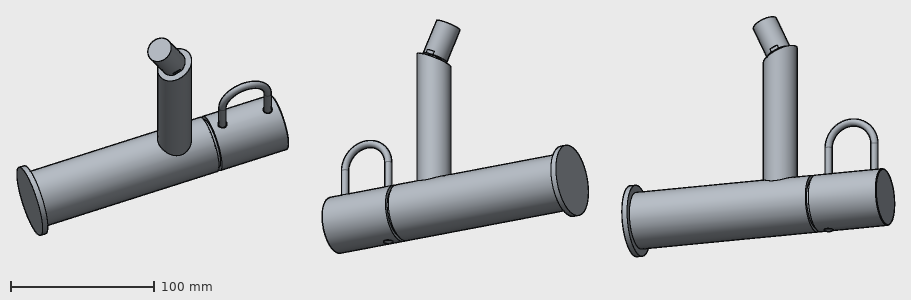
import cadquery as cq
import math

total_length = 186.8
flange_radius = 25.0
flange_thickness = 4.0
body_radius = 20.0
groove_start = 134.3
groove_width = 2.2
groove_radius = 17.4
end_chamfer = 0.5

spout_y = 108.7
spout_radius = 12.0
spout_middle_height = 110.2
tilt = 25

nozzle_y = 107.8
nozzle_height = 112.1
nozzle_radius = 9.0
nozzle_length = 24.7
neck_radius = 4.9
neck_length = 5.6
flat_width = 6.0
flat_height = 2.5

rod_radius = 2.6
handle_front_y = 144.6
handle_rear_y = 178.6
handle_bend_height = 39.5
recess_radius = 3.2
recess_depth = 1.0

tip_base_depth = 20.2
tip_base_radius = 3.4
tip_height = 1.5


def cylinder_along_y(radius, start, end):
    return cq.Workplane("XZ", origin=(0, start, 0)).circle(radius).extrude(start - end)


def make_body():
    flange = cylinder_along_y(flange_radius, 0, flange_thickness)
    barrel = cylinder_along_y(body_radius, 0, total_length).faces(">Y").chamfer(end_chamfer)
    groove_end = groove_start + groove_width
    groove = cylinder_along_y(body_radius, groove_start, groove_end)
    groove = groove.cut(cylinder_along_y(groove_radius, groove_start, groove_end))
    return flange.union(barrel.cut(groove))


def make_spout():
    rise = spout_radius * math.tan(math.radians(tilt))
    low_height = spout_middle_height - rise
    high_height = spout_middle_height + rise
    front_y = spout_y - spout_radius
    rear_y = spout_y + spout_radius
    side_profile = [(front_y, 0), (rear_y, 0), (rear_y, high_height), (front_y, low_height)]
    envelope = cq.Workplane("YZ").polyline(side_profile).close().extrude(spout_radius, both=True)
    tube = cq.Workplane("XY", origin=(0, spout_y, 0)).circle(spout_radius).extrude(high_height)
    return tube.intersect(envelope)


def make_nozzle():
    nozzle = cq.Workplane("XY").circle(nozzle_radius).extrude(nozzle_length)
    flat_distance = math.sqrt(nozzle_radius**2 - (flat_width / 2) ** 2)
    flat_depth = nozzle_radius - flat_distance
    for side in (-1, 1):
        flat_cut = cq.Workplane("XY").box(flat_depth, flat_width, flat_height, centered=(True, True, False))
        nozzle = nozzle.cut(flat_cut.translate((side * (flat_distance + flat_depth / 2), 0, 0)))
    neck = cq.Workplane("XY").circle(neck_radius).extrude(-neck_length)
    nozzle = nozzle.union(neck).rotate((0, 0, 0), (1, 0, 0), tilt)
    return nozzle.translate((0, nozzle_y, nozzle_height))


def make_handle():
    bend_radius = (handle_rear_y - handle_front_y) / 2
    path = (
        cq.Workplane("YZ")
        .moveTo(handle_front_y, 0)
        .lineTo(handle_front_y, handle_bend_height)
        .threePointArc(
            (handle_front_y + bend_radius, handle_bend_height + bend_radius),
            (handle_rear_y, handle_bend_height),
        )
        .lineTo(handle_rear_y, 0)
    )
    handle = cq.Workplane("XY", origin=(0, handle_front_y, 0)).circle(rod_radius).sweep(path)
    return handle


def make_leg_recesses():
    recesses = cq.Workplane("XY", origin=(0, 0, body_radius - recess_depth))
    leg_places = [(0, handle_front_y), (0, handle_rear_y)]
    return recesses.pushPoints(leg_places).circle(recess_radius).extrude(recess_depth)


def make_tip():
    cone = cq.Solid.makeCone(
        tip_base_radius, 0, tip_height, cq.Vector(0, handle_front_y, -tip_base_depth), cq.Vector(0, 0, -1)
    )
    stem = cq.Workplane("XY", origin=(0, handle_front_y, 0)).circle(tip_base_radius).extrude(-tip_base_depth)
    return stem.union(cq.Workplane(cone))


body = make_body().cut(make_leg_recesses())
result = body.union(make_spout()).union(make_nozzle()).union(make_handle()).union(make_tip())